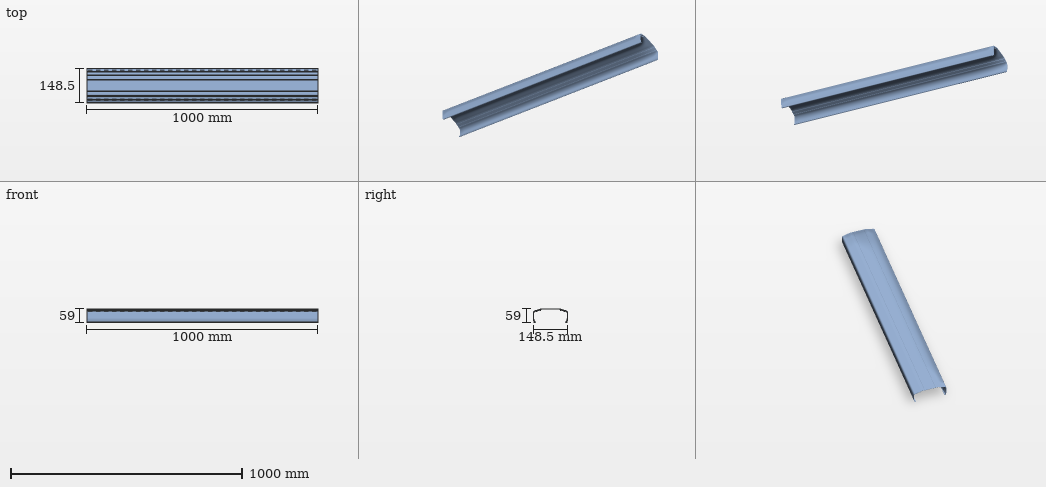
import cadquery as cq
import math

LENGTH = 1000.0
WIDTH = 148.5
HEIGHT = 59.0

WALL = 1.6
SHOULDER_FALL = 17.45
LIP_LEAN = 15.0
TOP_BEND_Y = 37.6
LEG_BEND_DEPTH = 44.6
FOOT_LENGTH = 5.8

TOP_BEND_RADIUS = 12.0
CORNER_RADIUS = 8.5
LEG_BEND_RADIUS = 22.0
HEEL_RADIUS = 2.0

GROOVE_Y = 24.7
GROOVE_WIDTH = 1.5
GROOVE_DEPTH = 0.6

RIB_POSITIONS = (45.5, 60.9)
RIB_WIDTH = 2.4
RIB_HEIGHT = 3.2

HALF_WIDTH = WIDTH / 2

HEADINGS = (0.0, SHOULDER_FALL, 90.0, 90.0 + LIP_LEAN, 180.0 + LIP_LEAN)
OUTER_RADII = (TOP_BEND_RADIUS, CORNER_RADIUS, LEG_BEND_RADIUS, HEEL_RADIUS)


def step(point, heading, distance):
    """The point reached from a (y, z) point after a distance along a heading."""
    angle = math.radians(heading)
    return (point[0] + distance * math.cos(angle), point[1] - distance * math.sin(angle))


def shoulder_point(y):
    """Point on the outer shoulder plane at distance y from the centre."""
    return (y, -(y - TOP_BEND_Y) * math.tan(math.radians(SHOULDER_FALL)))


def outer_corners():
    """Sharp corners of the outer surface on the +Y side, from the top to the heel."""
    lean = math.radians(LIP_LEAN)
    heel_depth = HEIGHT + HEEL_RADIUS * (math.sin(lean) + math.cos(lean) - 1)
    heel_y = HALF_WIDTH - (heel_depth - LEG_BEND_DEPTH) * math.tan(lean)
    return [
        (TOP_BEND_Y, 0.0),
        shoulder_point(HALF_WIDTH),
        (HALF_WIDTH, -LEG_BEND_DEPTH),
        (heel_y, -heel_depth),
    ]


def inner_corners(corners):
    """The outer corners moved to the inner surface, along the bisector of each bend."""
    moved = []
    for corner, before, after in zip(corners, HEADINGS, HEADINGS[1:]):
        half_turn = math.radians(after - before) / 2
        bisector = (before + after) / 2 + 90
        moved.append(step(corner, bisector, WALL / math.cos(half_turn)))
    return moved


def mirrored(points):
    """The same points on the -Y side."""
    return [(-y, z) for y, z in points]


def round_edges(sheet, corner, radius):
    """Round the lengthwise edges at a corner and at its mirror image."""
    for y, z in [corner] + mirrored([corner]):
        nearest = cq.selectors.NearestToPointSelector((LENGTH / 2, y, z))
        sheet = sheet.edges("|X").edges(nearest).fillet(radius)
    return sheet


def make_sheet():
    """The bent sheet: a sharp-cornered channel with every bend rounded."""
    outer = outer_corners()
    inner = inner_corners(outer)
    foot_tip = step(outer[-1], HEADINGS[-1], FOOT_LENGTH)
    foot_end = [foot_tip, step(foot_tip, HEADINGS[-1] + 90, WALL)]
    half = outer + foot_end + inner[::-1]
    outline = half + mirrored(half[::-1])
    sheet = cq.Workplane("YZ").polyline(outline).close().extrude(LENGTH)

    for outer_corner, inner_corner, radius in zip(outer, inner, OUTER_RADII):
        sheet = round_edges(sheet, outer_corner, radius)
        sheet = round_edges(sheet, inner_corner, radius - WALL)
    return sheet


def make_rib(y):
    """A +Y rib hanging square below the shoulder, rooted in the middle of the sheet."""
    inward = SHOULDER_FALL + 90
    root = step(shoulder_point(y), inward, WALL / 2)
    tip = step(shoulder_point(y), inward, WALL + RIB_HEIGHT)
    half = RIB_WIDTH / 2
    outline = [
        step(root, SHOULDER_FALL, -half),
        step(root, SHOULDER_FALL, half),
        step(tip, SHOULDER_FALL, half),
        step(tip, SHOULDER_FALL, -half),
    ]
    return cq.Workplane("YZ").polyline(outline).close().extrude(LENGTH)


def make_groove():
    """Cutter for the V groove on the +Y side of the flat top."""
    half = GROOVE_WIDTH / 2
    outline = [(GROOVE_Y - half, 0), (GROOVE_Y, -GROOVE_DEPTH), (GROOVE_Y + half, 0)]
    return cq.Workplane("YZ").polyline(outline).close().extrude(LENGTH)


result = make_sheet()
for position in RIB_POSITIONS:
    rib = make_rib(position)
    result = result.union(rib).union(rib.mirror("XZ"))
groove = make_groove()
result = result.cut(groove).cut(groove.mirror("XZ"))